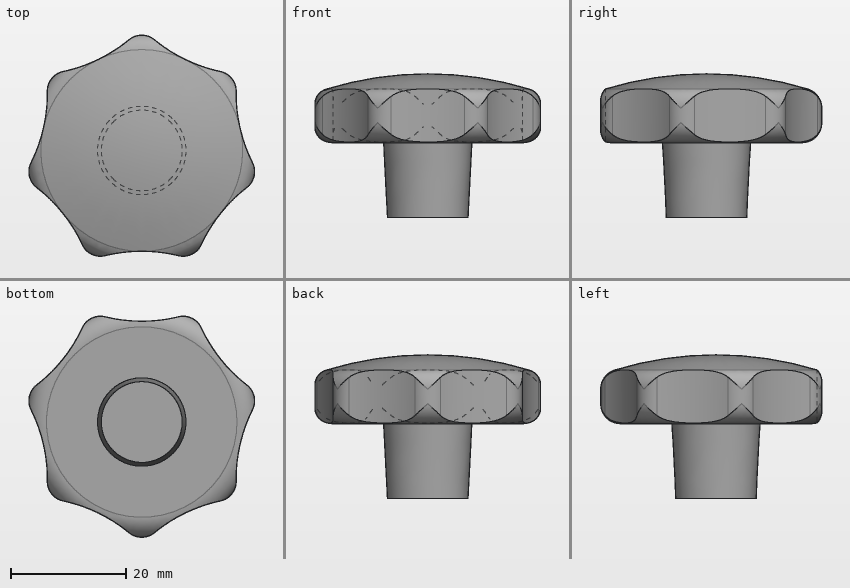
import cadquery as cq
import math

lobe_count = 7
total_height = 25.0
head_bottom = 13.0
rim_top = 22.35
tip_radius = 20.0
valley_radius = 17.5
lobe_round = 3.5
stem_top_radius = 7.68
stem_bottom_radius = 7.0
rim_round = 3.5

half_pitch = math.pi / lobe_count


def polar(radius, angle):
    """Return the point at a radius and an angle in radians."""
    return radius * math.cos(angle), radius * math.sin(angle)


def revolve_profile(profile):
    """Revolve a closed radius-height profile about the Z axis."""
    return profile.close().revolve(360, (0, 0, 0), (0, 1, 0))


def make_head_blank():
    """Round head with a domed top and rounded rim edges."""
    dome_rise = total_height - rim_top
    dome_radius = (valley_radius**2 + dome_rise**2) / (2 * dome_rise)
    dome_mid_radius = valley_radius / 2
    dome_mid_height = total_height - dome_radius + math.sqrt(dome_radius**2 - dome_mid_radius**2)
    round_center = tip_radius - rim_round
    lower_center_height = head_bottom + rim_round
    upper_start_angle = math.acos((valley_radius - round_center) / rim_round)
    upper_center_height = rim_top - rim_round * math.sin(upper_start_angle)
    lower_mid = polar(rim_round, -math.pi / 4)
    upper_mid = polar(rim_round, upper_start_angle / 2)
    profile = (
        cq.Workplane("XZ")
        .moveTo(0, head_bottom)
        .lineTo(round_center, head_bottom)
        .threePointArc(
            (round_center + lower_mid[0], lower_center_height + lower_mid[1]),
            (tip_radius, lower_center_height),
        )
        .lineTo(tip_radius, upper_center_height)
        .threePointArc(
            (round_center + upper_mid[0], upper_center_height + upper_mid[1]),
            (valley_radius, rim_top),
        )
        .threePointArc((dome_mid_radius, dome_mid_height), (0, total_height))
    )
    return revolve_profile(profile)


def make_lobed_prism():
    """Prism whose outline alternates rounded lobes and tangent concave scallops."""
    lobe_center = tip_radius - lobe_round
    across = lobe_center * math.sin(half_pitch)
    inward = valley_radius - lobe_center * math.cos(half_pitch)
    scallop_round = (across**2 + inward**2 - lobe_round**2) / (2 * (lobe_round - inward))

    tangent_share = scallop_round / (scallop_round + lobe_round)
    tangent_across = across * tangent_share
    tangent_out = valley_radius + scallop_round - (scallop_round + inward) * tangent_share
    tangent_radius = math.hypot(tangent_across, tangent_out)
    tangent_angle = math.atan2(tangent_across, tangent_out)

    first_scallop = math.pi / 2 - half_pitch
    outline = cq.Workplane("XY").moveTo(*polar(tangent_radius, first_scallop - tangent_angle))
    for index in range(lobe_count):
        scallop_angle = first_scallop + 2 * index * half_pitch
        lobe_angle = scallop_angle + half_pitch
        next_scallop = lobe_angle + half_pitch
        outline = outline.threePointArc(
            polar(valley_radius, scallop_angle),
            polar(tangent_radius, scallop_angle + tangent_angle),
        ).threePointArc(
            polar(tip_radius, lobe_angle),
            polar(tangent_radius, next_scallop - tangent_angle),
        )
    return outline.close().extrude(total_height)


def make_stem():
    """Tapered stem between the base and the underside of the head."""
    profile = (
        cq.Workplane("XZ")
        .lineTo(stem_bottom_radius, 0)
        .lineTo(stem_top_radius, head_bottom)
        .lineTo(0, head_bottom)
    )
    return revolve_profile(profile)


head = make_head_blank().intersect(make_lobed_prism())
result = head.union(make_stem())